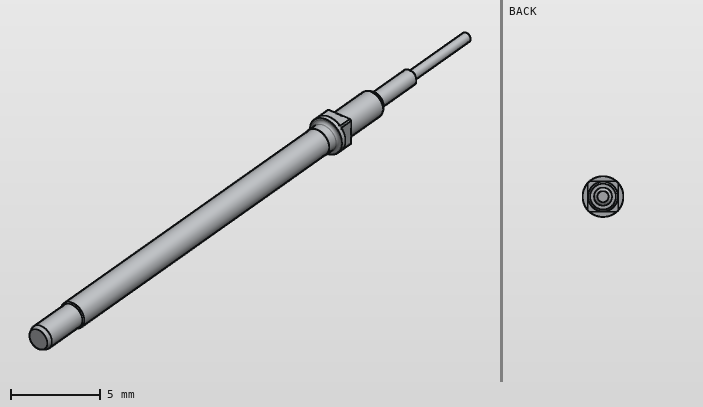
import cadquery as cq

overall_length = 38.8
wire_end_y = overall_length / 2
tip_end_y = -overall_length / 2

wire_diameter = 0.62
sleeve_diameter = 1.0
body_diameter = 1.65
flange_diameter = 2.3
tip_diameter = 1.5

wire_length = 4.95
sleeve_chamfer = (sleeve_diameter - wire_diameter) / 2
sleeve_length = 3.4
body_chamfer_length = 0.25
body_chamfer_depth = 0.1

flange_rear_y = 7.0
flange_length = 0.3
collar_diameter = 1.7
collar_length = 0.78
collar_fillet = 0.2
square_length = 0.9
square_width = collar_diameter

body_front_y = -16.37
body_front_chamfer = (body_diameter - tip_diameter) / 2
tip_chamfer_length = 0.27
tip_chamfer_depth = 0.1

sleeve_rear_y = wire_end_y - wire_length
body_rear_y = sleeve_rear_y - sleeve_length
flange_front_y = flange_rear_y - flange_length
collar_front_y = flange_front_y - collar_length


def turned_pin():
    """Revolve the half profile, listed from the wire to the tip, about the Y axis."""
    wire_radius = wire_diameter / 2
    sleeve_radius = sleeve_diameter / 2
    body_radius = body_diameter / 2
    flange_radius = flange_diameter / 2
    collar_radius = collar_diameter / 2
    tip_radius = tip_diameter / 2
    return (
        cq.Workplane("XY")
        .moveTo(0, wire_end_y)
        .lineTo(wire_radius, wire_end_y)
        .lineTo(wire_radius, sleeve_rear_y)
        .lineTo(sleeve_radius, sleeve_rear_y - sleeve_chamfer)
        .lineTo(sleeve_radius, body_rear_y)
        .lineTo(body_radius - body_chamfer_depth, body_rear_y)
        .lineTo(body_radius, body_rear_y - body_chamfer_length)
        .lineTo(body_radius, flange_rear_y)
        .lineTo(flange_radius, flange_rear_y)
        .lineTo(flange_radius, flange_front_y)
        .lineTo(collar_radius + collar_fillet, flange_front_y)
        .radiusArc((collar_radius, flange_front_y - collar_fillet), -collar_fillet)
        .lineTo(collar_radius, collar_front_y)
        .lineTo(body_radius, collar_front_y)
        .lineTo(body_radius, body_front_y + body_front_chamfer)
        .lineTo(tip_radius, body_front_y)
        .lineTo(tip_radius, tip_end_y + tip_chamfer_length)
        .lineTo(tip_radius - tip_chamfer_depth, tip_end_y)
        .lineTo(0, tip_end_y)
        .close()
        .revolve(360, (0, 0, 0), (0, 1, 0))
    )


def square_section():
    """Square with its corners rounded off to the flange diameter."""
    flange_face = cq.Workplane("XZ", origin=(0, flange_rear_y, 0))
    square = flange_face.rect(square_width, square_width).extrude(-square_length)
    corner_limit = flange_face.circle(flange_diameter / 2).extrude(-square_length)
    return square.intersect(corner_limit)


result = turned_pin().union(square_section())